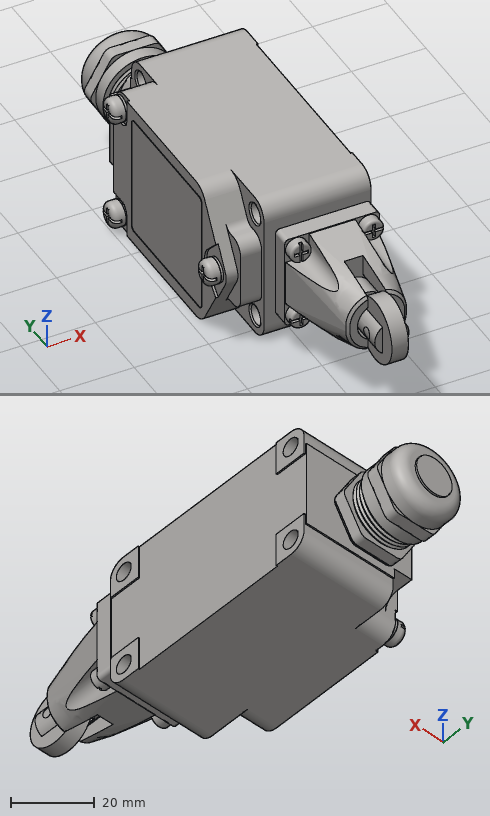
import cadquery as cq
import math


BLOCK_FRONT_X = -15.6
BLOCK_BACK_X = 13.1
BLOCK_LENGTH = 68.3
HEIGHT = 40.0
HALF_HEIGHT = HEIGHT / 2
BLOCK_CORNER_R = 4.6
END_PAD = 0.4
END_PAD_HEIGHT = 26.0
BACK_RELIEF = 0.4
BACK_PAD_LENGTH = 9.9
BACK_PAD_Z = 9.9

MOUNT_D = 5.3
MOUNT_RIM_D = 6.0
MOUNT_INSET_Y = 4.7
MOUNT_Z = 15.1

COVER_X = -25.1
COVER_TAIL_Y = 59.5
COVER_SHOULDER_Y = 13.9
COVER_TIP_Y = 2.0
COVER_TAIL_R = 4.5
COVER_SHOULDER_R = 5.4
COVER_TIP_R = 4.0
LABEL_DEPTH = 0.1
LABEL_Y0 = 14.0
LABEL_Y1 = 50.2
LABEL_HEIGHT = 32.8
LABEL_CORNER_R = 1.3

LUG_X = -21.3
LUG_HALF_Z = 10.0
LUG_FRONT_Y = 1.2
LUG_BACK_Y = BLOCK_LENGTH + END_PAD
LUG_CORNER_R = 3.7
LUG_TAIL_ROOT_R = 3.8
LUG_FRONT_ROOT_R = 2.6

SCREW_SEAT_X = -24.4
SCREW_TOP_X = -28.4
SCREW_D = 6.8
SCREW_BASE_D = 6.6
SCREW_EDGE_R = 1.6
SCREW_SLOT_DEPTH = 2.1
SCREW_CROSS_LENGTH = 4.2
SLOT_WIDTH = 0.8
TAIL_SCREW_Y = 56.2
TAIL_SCREW_Z = 15.5
TIP_SCREW_Y = 7.2
TAIL_SEAT_Y = 52.5
TAIL_SEAT_Z = 11.5
TAIL_SEAT_R = 2.6
TIP_SEAT_R = 5.3

HEAD_GAP = 0.4
NECK_D = 21.4
PLATE_SIZE = 25.5
PLATE_CORNER_R = 1.2
PLATE_END = 5.1
TAPER_BASE = 25.0
TAPER_BASE_R = 6.2
TAPER_TIP = 16.0
TAPER_TIP_R = 7.4
HEAD_END = 28.4
TIP_CHAMFER = 0.7
BORE_D = 10.6
HEAD_SLOT_WIDTH = 5.0
HEAD_SLOT_FLOOR = 16.2

POCKET_WALL = 6.2
POCKET_R = 3.5
HEAD_SCREW_POS = POCKET_WALL + POCKET_R
HEAD_SCREW_D = 5.6
HEAD_SCREW_HEIGHT = 2.9
HEAD_SCREW_EDGE_R = 0.7
HEAD_SCREW_SLOT_DEPTH = 0.8
HEAD_SCREW_CROSS_LENGTH = 3.7

PLUNGER_D = 9.2
PLUNGER_END = 35.9
PLUNGER_SLOT_FLOOR = 22.7
ROLLER_D = 17.1
ROLLER_WIDTH = 4.5
ROLLER_END = 40.2
ROLLER_CENTER = ROLLER_END - ROLLER_D / 2
PIN_D = 3.0

GLAND_X = -8.0
GLAND_START = BLOCK_LENGTH + END_PAD
GLAND_D = 21.4
HEX_CORNER_R = 2.4
NUT_FOOT = 0.5
NUT_FOOT_FLATS = 20.9
NUT_END = 72.5
THREAD_D = 19.5
THREAD_ROOT_D = 18.4
THREAD_RINGS = 4
THREAD_END = 77.1
CAP_HEX_START = 80.8
CAP_HEX_END = 84.2
CAP_EDGE_R = 3.3
CAP_END = 90.6
SEAL_D = 11.4
SEAL_END = 91.2


def prism_x(points, x_start, x_end):
    """Prism along X over a closed outline of (y, z) points."""
    return cq.Workplane("YZ").workplane(offset=x_start).polyline(points).close().extrude(x_end - x_start)


def round_edges_along_x(body, corners, x_middle):
    """Round the X-direction edges that stand at the (y, z, radius) corners."""
    for y, z, radius in corners:
        nearest = cq.selectors.NearestToPointSelector((x_middle, y, z))
        body = body.edges("|X").edges(nearest).fillet(radius)
    return body


def box_between(x0, x1, y0, y1, z0, z1):
    return cq.Workplane("XY").box(x1 - x0, y1 - y0, z1 - z0, centered=False).translate((x0, y0, z0))


def disc_y(diameter, y0, y1, x=0.0):
    """Cylinder along Y from y0 to the larger y1."""
    return cq.Workplane("XZ", origin=(x, y1, 0)).circle(diameter / 2).extrude(y1 - y0)


def both_sides(points):
    """Add the mirror images across Z = 0, so an upper half outline closes on itself."""
    return points + [(y, -z) for y, z in reversed(points)]


def screw_head(diameter, height, edge_r, slot_depth, cross_length):
    """Screw head standing on Z = 0, its full-width slot along X and a short cross slot along Y."""
    head = cq.Workplane("XY").circle(diameter / 2).extrude(height).faces(">Z").edges().fillet(edge_r)
    slot_floor = cq.Workplane("XY").workplane(offset=height - slot_depth)
    full_slot = slot_floor.rect(diameter, SLOT_WIDTH).extrude(slot_depth)
    cross_slot = slot_floor.rect(SLOT_WIDTH, cross_length).extrude(slot_depth)
    return head.cut(full_slot).cut(cross_slot)



def make_block():
    block = box_between(BLOCK_FRONT_X, BLOCK_BACK_X, 0, BLOCK_LENGTH, -HALF_HEIGHT, HALF_HEIGHT)
    block = block.edges("|X").fillet(BLOCK_CORNER_R)
    pad_z = END_PAD_HEIGHT / 2
    relief_x = BLOCK_BACK_X - BACK_RELIEF
    end_pad = box_between(BLOCK_FRONT_X, relief_x, BLOCK_LENGTH, BLOCK_LENGTH + END_PAD, -pad_z, pad_z)
    middle = box_between(
        relief_x, BLOCK_BACK_X, BACK_PAD_LENGTH, BLOCK_LENGTH - BACK_PAD_LENGTH, -HALF_HEIGHT, HALF_HEIGHT
    )
    lengthwise = box_between(relief_x, BLOCK_BACK_X, 0, BLOCK_LENGTH, -BACK_PAD_Z, BACK_PAD_Z)
    return block.union(end_pad).cut(middle).cut(lengthwise)


def make_cover():
    tail = (COVER_TAIL_Y, HALF_HEIGHT)
    shoulder = (COVER_SHOULDER_Y, HALF_HEIGHT)
    flank_run = (COVER_SHOULDER_Y - COVER_TIP_Y) / HALF_HEIGHT
    lug_root_y = COVER_TIP_Y + LUG_HALF_Z * flank_run

    tip = (COVER_TIP_Y, 0)
    mirrored_shoulder = (COVER_SHOULDER_Y, -HALF_HEIGHT)
    mirrored_tail = (COVER_TAIL_Y, -HALF_HEIGHT)
    top = prism_x([tail, shoulder, tip, mirrored_shoulder, mirrored_tail], COVER_X, LUG_X)
    base_half = [
        (LUG_BACK_Y, LUG_HALF_Z),
        (COVER_TAIL_Y, LUG_HALF_Z),
        tail,
        shoulder,
        (lug_root_y, LUG_HALF_Z),
        (LUG_FRONT_Y, LUG_HALF_Z),
    ]
    base = prism_x(both_sides(base_half), LUG_X, BLOCK_FRONT_X)

    top_corners = [(COVER_TIP_Y, 0, COVER_TIP_R)]
    base_corners = []
    for side in (1, -1):
        outer = [
            (COVER_TAIL_Y, side * HALF_HEIGHT, COVER_TAIL_R),
            (COVER_SHOULDER_Y, side * HALF_HEIGHT, COVER_SHOULDER_R),
        ]
        top_corners += outer
        base_corners += outer + [
            (COVER_TAIL_Y, side * LUG_HALF_Z, LUG_TAIL_ROOT_R),
            (lug_root_y, side * LUG_HALF_Z, LUG_FRONT_ROOT_R),
            (LUG_FRONT_Y, side * LUG_HALF_Z, LUG_CORNER_R),
        ]
    top = round_edges_along_x(top, top_corners, (COVER_X + LUG_X) / 2)
    base = round_edges_along_x(base, base_corners, (LUG_X + BLOCK_FRONT_X) / 2)
    return top.union(base)


def make_label_recess():
    recess = box_between(
        COVER_X, COVER_X + LABEL_DEPTH, LABEL_Y0, LABEL_Y1, -LABEL_HEIGHT / 2, LABEL_HEIGHT / 2
    )
    return recess.edges("|X").fillet(LABEL_CORNER_R)


def make_tip_seat():
    """Right-angled wedge recess that opens toward the cover tip, rounded around the tip screw."""
    corner_y = TIP_SCREW_Y + TIP_SEAT_R * math.sqrt(2)
    wedge = prism_x(
        [(corner_y, 0), (corner_y - HALF_HEIGHT, HALF_HEIGHT), (corner_y - HALF_HEIGHT, -HALF_HEIGHT)],
        COVER_X,
        SCREW_SEAT_X,
    )
    return round_edges_along_x(wedge, [(corner_y, 0, TIP_SEAT_R)], (COVER_X + SCREW_SEAT_X) / 2)


def make_tail_seat(side):
    seat = prism_x(
        [
            (TAIL_SEAT_Y, side * TAIL_SEAT_Z),
            (COVER_TAIL_Y, side * TAIL_SEAT_Z),
            (COVER_TAIL_Y, side * HALF_HEIGHT),
            (TAIL_SEAT_Y, side * HALF_HEIGHT),
        ],
        COVER_X,
        SCREW_SEAT_X,
    )
    corner = (TAIL_SEAT_Y, side * TAIL_SEAT_Z, TAIL_SEAT_R)
    return round_edges_along_x(seat, [corner], (COVER_X + SCREW_SEAT_X) / 2)


def make_cover_screw(y, z):
    base_height = SCREW_SEAT_X - COVER_X
    head_height = COVER_X - SCREW_TOP_X
    head = screw_head(SCREW_D, head_height, SCREW_EDGE_R, SCREW_SLOT_DEPTH, SCREW_CROSS_LENGTH)
    base = cq.Workplane("XY").circle(SCREW_BASE_D / 2).extrude(base_height)
    head = base.union(head.translate((0, 0, base_height)))
    head = head.rotate((0, 0, 0), (0, 0, 1), 90).rotate((0, 0, 0), (0, 1, 0), -90)
    return head.translate((SCREW_SEAT_X, y, z))


def make_mount_hole(y, z):
    hole = cq.Workplane("YZ", origin=(BLOCK_FRONT_X, y, z))
    depth = BLOCK_BACK_X - BLOCK_FRONT_X
    rim_depth = (MOUNT_RIM_D - MOUNT_D) / 2
    rim = hole.circle(MOUNT_RIM_D / 2).workplane(offset=rim_depth).circle(MOUNT_D / 2).loft()
    return hole.circle(MOUNT_D / 2).extrude(depth).union(rim)


def make_housing():
    housing = make_block().union(make_cover())
    housing = housing.cut(make_label_recess()).cut(make_tip_seat())
    housing = housing.union(make_cover_screw(TIP_SCREW_Y, 0))
    for side in (1, -1):
        housing = housing.cut(make_tail_seat(side))
        housing = housing.union(make_cover_screw(TAIL_SCREW_Y, side * TAIL_SCREW_Z))
        for y in (MOUNT_INSET_Y, BLOCK_LENGTH - MOUNT_INSET_Y):
            housing = housing.cut(make_mount_hole(y, side * MOUNT_Z))
    return housing



def make_taper():
    """Rounded square that narrows to an almost round tip with a chamfered rim."""
    base = cq.Sketch().rect(TAPER_BASE, TAPER_BASE).vertices().fillet(TAPER_BASE_R)
    tip = cq.Sketch().rect(TAPER_TIP, TAPER_TIP).vertices().fillet(TAPER_TIP_R)
    length = HEAD_END - PLATE_END
    taper = (
        cq.Workplane("XZ", origin=(0, -PLATE_END, 0))
        .placeSketch(base, tip.moved(cq.Location(cq.Vector(0, 0, length))))
        .loft(ruled=True)
    )
    return taper.faces("<Y").chamfer(TIP_CHAMFER)


def make_corner_pocket(x_side, z_side):
    """Square channel along Y that runs out of the taper, round at its inner corner."""
    size = PLATE_SIZE / 2
    pocket = box_between(POCKET_WALL, size, -HEAD_END, -PLATE_END, POCKET_WALL, size)
    pocket = pocket.edges("|Y and <X and <Z").fillet(POCKET_R)
    if x_side < 0:
        pocket = pocket.mirror("YZ")
    if z_side < 0:
        pocket = pocket.mirror("XY")
    return pocket


def make_head_screw(x_side, z_side):
    head = screw_head(
        HEAD_SCREW_D,
        HEAD_SCREW_HEIGHT,
        HEAD_SCREW_EDGE_R,
        HEAD_SCREW_SLOT_DEPTH,
        HEAD_SCREW_CROSS_LENGTH,
    )
    if x_side != z_side:
        head = head.rotate((0, 0, 0), (0, 0, 1), 90)
    head = head.rotate((0, 0, 0), (1, 0, 0), 90)
    return head.translate((x_side * HEAD_SCREW_POS, -PLATE_END, z_side * HEAD_SCREW_POS))


def make_head():
    neck = disc_y(NECK_D, -HEAD_GAP, 0)
    half = PLATE_SIZE / 2
    plate = box_between(-half, half, -PLATE_END, -HEAD_GAP, -half, half).edges("|Y").fillet(PLATE_CORNER_R)
    head = neck.union(plate).union(make_taper())
    for x_side in (1, -1):
        for z_side in (1, -1):
            head = head.cut(make_corner_pocket(x_side, z_side)).union(make_head_screw(x_side, z_side))
    bore = disc_y(BORE_D, -HEAD_END, -HEAD_SLOT_FLOOR)
    slot_x = HEAD_SLOT_WIDTH / 2
    slot = box_between(-slot_x, slot_x, -HEAD_END, -HEAD_SLOT_FLOOR, -half, half)
    return head.cut(bore).cut(slot)



def pin_bar(length):
    """Bar of the pin diameter along X, through the roller centre."""
    return cq.Workplane("YZ", origin=(-length / 2, -ROLLER_CENTER, 0)).circle(PIN_D / 2).extrude(length)


def make_plunger():
    plunger = disc_y(PLUNGER_D, -PLUNGER_END, -HEAD_SLOT_FLOOR)
    slot_x = HEAD_SLOT_WIDTH / 2
    slot = box_between(-slot_x, slot_x, -PLUNGER_END, -PLUNGER_SLOT_FLOOR, -PLUNGER_D, PLUNGER_D)
    return plunger.cut(slot).cut(pin_bar(PLUNGER_D))


def make_roller():
    wheel = cq.Workplane("YZ", origin=(-ROLLER_WIDTH / 2, -ROLLER_CENTER, 0))
    return wheel.circle(ROLLER_D / 2).circle(PIN_D / 2).extrude(ROLLER_WIDTH)


def make_pin():
    """Pin whose ends follow the round flank of the plunger."""
    return pin_bar(PLUNGER_D).intersect(disc_y(PLUNGER_D, -PLUNGER_END, -HEAD_SLOT_FLOOR))



def hex_y(flats, y0, y1):
    """Hexagon along Y on the gland axis, with rounded corners and two flats square to Z."""
    corner_d = flats / math.cos(math.pi / 6)
    prism = cq.Workplane("XZ", origin=(GLAND_X, y1, 0)).polygon(6, corner_d).extrude(y1 - y0)
    return prism.edges("|Y").fillet(HEX_CORNER_R)


def make_gland_body():
    """Hexagon nut on the housing, with the threaded part above it."""
    nut = hex_y(NUT_FOOT_FLATS, GLAND_START, GLAND_START + NUT_FOOT)
    nut = nut.union(hex_y(GLAND_D, GLAND_START + NUT_FOOT, NUT_END))
    pitch = (THREAD_END - NUT_END) / THREAD_RINGS
    root_r = THREAD_ROOT_D / 2
    crest_r = THREAD_D / 2
    profile = [(0, NUT_END), (root_r, NUT_END)]
    for ring in range(THREAD_RINGS):
        ring_start = NUT_END + ring * pitch
        profile += [(crest_r, ring_start + pitch / 2), (root_r, ring_start + pitch)]
    profile.append((0, THREAD_END))
    thread = cq.Workplane("XY").polyline(profile).close().revolve(360, (0, 0, 0), (0, 1, 0))
    return nut.union(thread.translate((GLAND_X, 0, 0)))


def make_gland_cap():
    """Round cap with a domed edge, a hexagon around it and the cable seal at its end."""
    cap = disc_y(GLAND_D, THREAD_END, CAP_END, GLAND_X).faces(">Y").edges().fillet(CAP_EDGE_R)
    cap = cap.union(hex_y(GLAND_D, CAP_HEX_START, CAP_HEX_END))
    return cap.union(disc_y(SEAL_D, CAP_END, SEAL_END, GLAND_X))


housing = make_housing()
head = make_head()
plunger = make_plunger()
roller = make_roller()
pin = make_pin()
gland_body = make_gland_body()
gland_cap = make_gland_cap()

result = cq.Compound.makeCompound([
    housing.val(),
    head.val(),
    plunger.val(),
    roller.val(),
    pin.val(),
    gland_body.val(),
    gland_cap.val(),
])